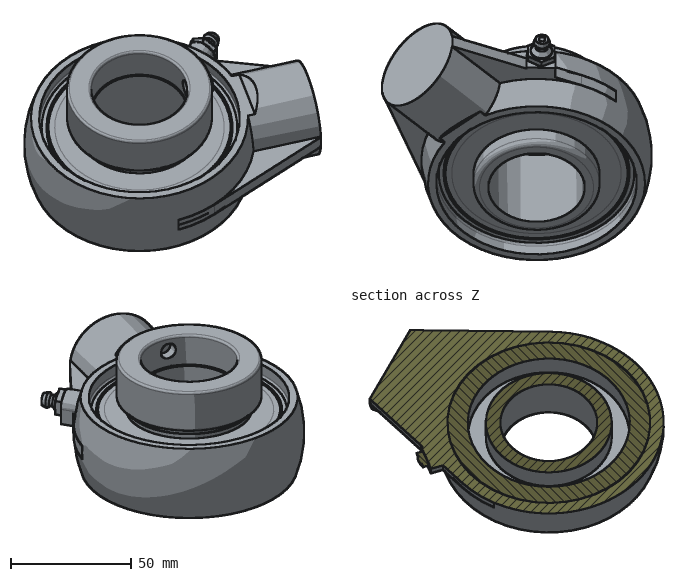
import cadquery as cq
import math


overall_length = 120.62

housing_radius = 95.81 / 2
housing_half_height = 16.35
recess_radius = 83.19 / 2
recess_fillet = 1.0

hanger_radius = 20.0
hanger_end_y = overall_length - housing_radius
hanger_bevel_y = 46.6
web_half_thickness = 3.0
web_end_y = 2.83

nipple_angle = 135.0
nipple_z = 4.0
nipple_boss_radius = 6.0
nipple_boss_end = 54.3
nipple_hex_flats = 11.0
nipple_hex_height = 2.7
nipple_cone_base_radius = 4.5
nipple_rim_height = 0.4
nipple_cone_height = 1.9
nipple_neck_radius = 2.5
nipple_neck_height = 1.4
nipple_head_radius = 6.78 / 2
nipple_head_flare = 1.3
nipple_head_taper = 2.05
nipple_tip_radius = 2.7
nipple_ball_radius = 2.51 / 2
nipple_ball_height = 0.3

bearing_half_width = 10.6
ring_face_radius = recess_radius - recess_fillet
seat_radius = math.hypot(ring_face_radius, bearing_half_width)
ring_bore_radius = 67.03 / 2
shield_radius = 38.6
shield_edge = 0.8
shield_thickness = 1.5
shield_step_radius = 70.36 / 2
shield_rise = 0.4

bore_radius = 20.0
inner_ring_radius = 52.39 / 2
inner_ring_bottom_z = -18.9
inner_ring_bottom_fillet = 2.5
inner_ring_shoulder_z = 13.3
inner_ring_top_z = 21.0
inner_ring_bore_chamfer = 0.7
nose_radius = 48.77 / 2

collar_radius = 60.3 / 2
collar_top_z = 34.86
collar_bottom_z = 16.4
collar_fillet = 1.0
collar_skirt_radius = 53.15 / 2
screw_radius = 6.78 / 2
screw_length = 6.0
screw_proud = 0.8
screw_z = 28.4


def axial_cylinder(radius, z_from, z_to):
    return cq.Workplane("XY").workplane(offset=z_from).circle(radius).extrude(z_to - z_from)


def housing_ball():
    ball = cq.Workplane("XY").sphere(housing_radius)
    return ball.intersect(axial_cylinder(housing_radius, -housing_half_height, housing_half_height))


def hanger_boss():
    boss = cq.Workplane("XZ").circle(hanger_radius).extrude(-hanger_end_y)
    bevel_rise = hanger_radius - housing_half_height
    envelope = (
        cq.Workplane("YZ")
        .moveTo(0, -housing_half_height)
        .lineTo(hanger_bevel_y, -housing_half_height)
        .lineTo(hanger_bevel_y + bevel_rise, -hanger_radius)
        .lineTo(hanger_end_y, -hanger_radius)
        .lineTo(hanger_end_y, hanger_radius)
        .lineTo(hanger_bevel_y + bevel_rise, hanger_radius)
        .lineTo(hanger_bevel_y, housing_half_height)
        .lineTo(0, housing_half_height)
        .close()
        .extrude(hanger_radius, both=True)
    )
    return boss.intersect(envelope)


def hanger_web():
    corner_angle = math.atan2(hanger_end_y, hanger_radius)
    corner_distance = math.hypot(hanger_end_y, hanger_radius)
    tangent_angle = corner_angle - math.acos(housing_radius / corner_distance)
    end_angle = math.asin(web_end_y / housing_radius)

    def on_circle(angle, side):
        return (side * housing_radius * math.cos(angle), housing_radius * math.sin(angle))

    middle_angle = (tangent_angle + end_angle) / 2
    return (
        cq.Workplane("XY")
        .workplane(offset=-web_half_thickness)
        .moveTo(-hanger_radius, hanger_end_y)
        .lineTo(hanger_radius, hanger_end_y)
        .lineTo(*on_circle(tangent_angle, 1))
        .threePointArc(on_circle(middle_angle, 1), on_circle(end_angle, 1))
        .lineTo(*on_circle(end_angle, -1))
        .threePointArc(on_circle(middle_angle, -1), on_circle(tangent_angle, -1))
        .close()
        .extrude(2 * web_half_thickness)
    )


def place_on_nipple_axis(shape):
    return shape.rotate((0, 0, 0), (0, 0, 1), nipple_angle).translate((0, 0, nipple_z))


def nipple_boss():
    round_section = cq.Workplane("YZ").circle(nipple_boss_radius).extrude(nipple_boss_end)
    upper_half = (
        cq.Workplane("YZ")
        .center(0, nipple_boss_radius / 2)
        .rect(2 * nipple_boss_radius, nipple_boss_radius)
        .extrude(nipple_boss_end)
    )
    block_depth = nipple_z + web_half_thickness
    block = (
        cq.Workplane("YZ")
        .center(0, -block_depth / 2)
        .rect(2 * nipple_boss_radius, block_depth)
        .extrude(nipple_boss_end)
    )
    return place_on_nipple_axis(round_section.intersect(upper_half).union(block))


def bearing_opening():
    fillet_top_z = bearing_half_width + recess_fillet
    fillet_offset = recess_fillet * (1 - math.sqrt(0.5))
    fillet_middle = (recess_radius - fillet_offset, bearing_half_width + fillet_offset)
    return (
        cq.Workplane("XZ")
        .moveTo(0, -housing_half_height)
        .lineTo(recess_radius, -housing_half_height)
        .lineTo(recess_radius, -fillet_top_z)
        .threePointArc((fillet_middle[0], -fillet_middle[1]), (ring_face_radius, -bearing_half_width))
        .threePointArc((seat_radius, 0), (ring_face_radius, bearing_half_width))
        .threePointArc(fillet_middle, (recess_radius, fillet_top_z))
        .lineTo(recess_radius, housing_half_height)
        .lineTo(0, housing_half_height)
        .close()
        .revolve(360, (0, 0, 0), (0, 1, 0))
    )


def make_housing():
    body = housing_ball().union(hanger_boss()).union(hanger_web()).union(nipple_boss())
    return body.cut(bearing_opening())


def make_outer_ring():
    shield_seat_z = bearing_half_width - shield_thickness
    return (
        cq.Workplane("XZ")
        .moveTo(ring_bore_radius, -shield_seat_z)
        .lineTo(shield_radius, -shield_seat_z)
        .lineTo(shield_radius, -bearing_half_width)
        .lineTo(ring_face_radius, -bearing_half_width)
        .threePointArc((seat_radius, 0), (ring_face_radius, bearing_half_width))
        .lineTo(shield_radius, bearing_half_width)
        .lineTo(shield_radius, shield_seat_z)
        .lineTo(ring_bore_radius, shield_seat_z)
        .close()
        .revolve(360, (0, 0, 0), (0, 1, 0))
    )


def make_shield(side):
    inside_z = side * (bearing_half_width - shield_thickness)
    outside_z = side * bearing_half_width
    return (
        cq.Workplane("XZ")
        .moveTo(inner_ring_radius, inside_z)
        .lineTo(shield_radius, inside_z)
        .lineTo(shield_radius, outside_z - side * shield_edge)
        .lineTo(shield_radius - shield_edge, outside_z)
        .lineTo(shield_step_radius, outside_z)
        .lineTo(inner_ring_radius, outside_z + side * shield_rise)
        .close()
        .revolve(360, (0, 0, 0), (0, 1, 0))
    )


def make_inner_ring():
    ring = axial_cylinder(inner_ring_radius, inner_ring_bottom_z, inner_ring_shoulder_z)
    ring = ring.faces("<Z").edges().fillet(inner_ring_bottom_fillet)
    nose = axial_cylinder(nose_radius, inner_ring_shoulder_z, inner_ring_top_z)
    bore = axial_cylinder(bore_radius, inner_ring_bottom_z, inner_ring_top_z)
    ring = ring.union(nose).cut(bore)
    bore_edge = cq.selectors.RadiusNthSelector(0)
    return ring.faces(">Z").edges(bore_edge).chamfer(inner_ring_bore_chamfer)


def make_screw():
    outer_y = collar_radius + screw_proud
    return (
        cq.Workplane("XZ", origin=(0, outer_y - screw_length, screw_z))
        .circle(screw_radius)
        .extrude(-screw_length)
    )


def screw_hole():
    return cq.Workplane("XZ", origin=(0, 0, screw_z)).circle(screw_radius).extrude(-2 * collar_radius)


def make_collar():
    collar = axial_cylinder(collar_radius, collar_bottom_z, collar_top_z).edges().fillet(collar_fillet)
    skirt = axial_cylinder(collar_skirt_radius, inner_ring_shoulder_z, collar_bottom_z)
    bore = axial_cylinder(bore_radius, inner_ring_top_z, collar_top_z)
    nose_socket = axial_cylinder(nose_radius, inner_ring_shoulder_z, inner_ring_top_z)
    collar = collar.union(skirt).cut(bore).cut(nose_socket)
    bore_edge = cq.selectors.RadiusNthSelector(0)
    collar = collar.faces(">Z").edges(bore_edge).fillet(collar_fillet)
    return collar.cut(screw_hole())


def make_nipple():
    hexagon = (
        cq.Workplane("YZ")
        .polygon(6, nipple_hex_flats / math.cos(math.pi / 6))
        .extrude(nipple_hex_height)
        .rotate((0, 0, 0), (1, 0, 0), 90)
    )
    rim_end = nipple_hex_height + nipple_rim_height
    cone_end = rim_end + nipple_cone_height
    neck_end = cone_end + nipple_neck_height
    head_widest = neck_end + nipple_head_flare
    head_end = head_widest + nipple_head_taper
    ball_edge = (head_end, nipple_ball_radius)
    ball_top = (head_end + nipple_ball_height, 0)
    cap_radius = (nipple_ball_radius**2 + nipple_ball_height**2) / (2 * nipple_ball_height)
    half_angle = math.asin(nipple_ball_radius / cap_radius) / 2
    ball_middle = (
        ball_top[0] - cap_radius * (1 - math.cos(half_angle)),
        cap_radius * math.sin(half_angle),
    )
    turned = (
        cq.Workplane("XY")
        .lineTo(0, nipple_cone_base_radius)
        .lineTo(rim_end, nipple_cone_base_radius)
        .lineTo(cone_end, nipple_neck_radius)
        .lineTo(neck_end, nipple_neck_radius)
        .lineTo(head_widest, nipple_head_radius)
        .lineTo(head_end, nipple_tip_radius)
        .lineTo(*ball_edge)
        .threePointArc(ball_middle, ball_top)
        .close()
        .revolve(360, (0, 0, 0), (1, 0, 0))
    )
    nipple = hexagon.union(turned).translate((nipple_boss_end, 0, 0))
    return place_on_nipple_axis(nipple)


housing = make_housing()
outer_ring = make_outer_ring()
shields = [make_shield(side) for side in (1, -1)]
inner_ring = make_inner_ring()
collar = make_collar()
screw = make_screw()
nipple = make_nipple()

result = cq.Compound.makeCompound(
    [
        housing.val(),
        outer_ring.val(),
        *[shield.val() for shield in shields],
        inner_ring.val(),
        collar.val(),
        screw.val(),
        nipple.val(),
    ]
)